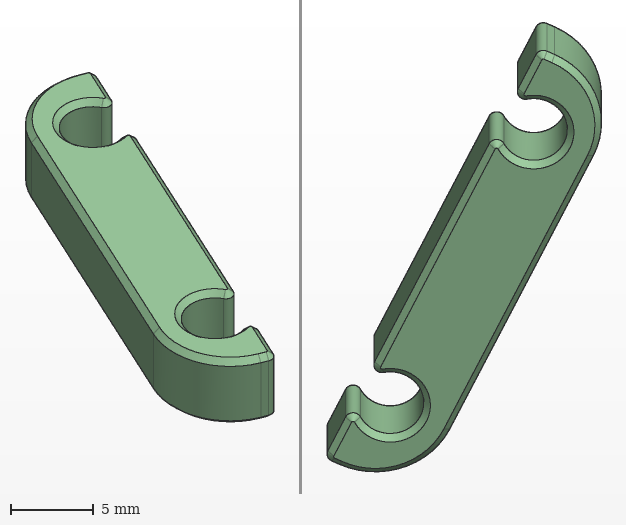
import cadquery as cq

length = 30.0
depth = 6.02
height = 5.0
corner_radius = 5.0
edge_round = 0.5
rim_chamfer = 0.4
hook_radius = 2.03
hook_spacing = 20.0
hook_wall = 4.0

front_y = -depth / 2
hook_y = front_y + hook_wall


def body():
    """Bar with large rounds on the front corners only."""
    bar = cq.Workplane("XY").box(length, depth, height)
    return bar.edges("|Z and <Y").fillet(corner_radius)


def hook_cutters():
    """Vertical cylinders that break through the back face, leaving a narrow mouth."""
    half_spacing = hook_spacing / 2
    return (
        cq.Workplane("XY", origin=(0, hook_y, -height / 2))
        .pushPoints([(-half_spacing, 0), (half_spacing, 0)])
        .circle(hook_radius)
        .extrude(height)
    )


def round_back_edges(part):
    """Round every upright edge on the back face: outer corners and clip lips."""
    return part.faces(">Y").edges("|Z").fillet(edge_round)


def bevel_rims(part):
    """Bevel the whole outline of the top and bottom faces."""
    return part.faces("|Z").edges().chamfer(rim_chamfer)


result = bevel_rims(round_back_edges(body().cut(hook_cutters())))